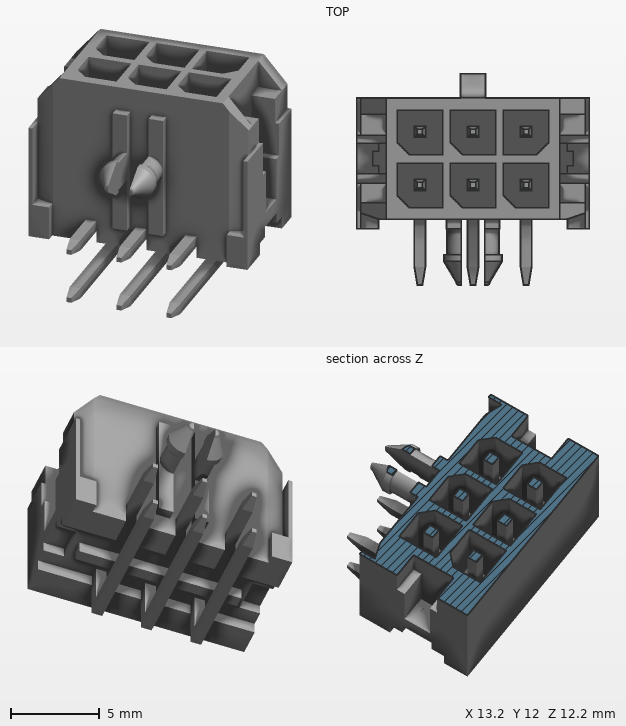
import cadquery as cq
import math


body_depth = 6.87
body_top = 9.92
core_half = 4.91
block_half = 6.33
plate_half = 6.575
shoulder_z = 8.28
plate_top = 6.77
front_step = 0.53
gusset_width = 0.94
corner_cut_x = 1.06
corner_cut_y = 0.36
foot_inner = 5.33
foot_top = 1.99

wide_slot = (2.05, 4.77)
wide_slot_floor = 4.77
narrow_slot = (2.57, 4.30)
narrow_slot_floor = 2.24
floor_step_depth = 0.05
floor_step_nub_outer = 5.66
floor_step_nub = (3.04, 3.84)

channel = (1.57, 5.25)
channel_top = 0.73
rib = (3.10, 3.74)
side_notch = (2.41, 4.41)
side_notch_top = 1.37

pitch = 3.0
columns = 3
pin_size = 0.64
pin_tip_size = 0.29
pin_tip_length = 1.03
front_row_y = 1.95
pin_top = 7.5
tail_end_y = -3.71
front_tail_z = 1.0
rear_tail_z = front_tail_z - pitch

cavity_width = 2.58
cavity_front = 1.29
cavity_back = 1.23
cavity_chamfer = 0.70
cavity_floor = 2.5

latch_width = 1.44
latch_reach = 1.37
latch_top = 9.28
latch_nose_top = 7.73
latch_bottom = 6.97
latch_fillet = 0.6

rail_inner = 0.65
rail_width = 0.86
rail_bottom = 1.30
rail_top = 8.50
peg_z = 5.32
peg_radius = 0.83
collar_radius = 1.0
collar_start_y = -1.98
collar_end_y = -2.37
peg_tip_radius = 0.30
peg_tip_flat = 0.13
peg_round = peg_tip_radius - peg_tip_flat

column_xs = [(i - (columns - 1) / 2) * pitch for i in range(columns)]
row_ys = [front_row_y, front_row_y + pitch]


def box(x_range, y_range, z_range):
    """Box between two limits on each axis."""
    size = [high - low for low, high in (x_range, y_range, z_range)]
    corner = (x_range[0], y_range[0], z_range[0])
    return cq.Workplane("XY").box(*size, centered=False).translate(corner)


def mirrored(shape):
    """The shape together with its mirror image across X = 0."""
    return shape.union(shape.mirror("YZ"))


def end_profile(y_start, y_end):
    """Full-width slice of the housing with sloped upper ends."""
    outline = [
        (-block_half, 0),
        (block_half, 0),
        (block_half, shoulder_z),
        (core_half, body_top),
        (-core_half, body_top),
        (-block_half, shoulder_z),
    ]
    slab = cq.Workplane("XZ").polyline(outline).close().extrude(y_start - y_end)
    return slab.translate((0, y_start, 0))


def front_corner_cut():
    """Wedge that bevels the vertical front corner on the +X side."""
    outline = [
        (block_half - corner_cut_x, 0),
        (block_half, 0),
        (block_half, corner_cut_y),
    ]
    return cq.Workplane("XY").polyline(outline).close().extrude(body_top)


def side_slot():
    """Stepped slot in the +X end, with the shallow T-shaped step in its floor."""
    across = (core_half, plate_half)
    slot = box(across, wide_slot, (wide_slot_floor, body_top))
    slot = slot.union(box(across, narrow_slot, (narrow_slot_floor, body_top)))
    step_heights = (narrow_slot_floor - floor_step_depth, body_top)
    slot = slot.union(box((core_half, foot_inner), narrow_slot, step_heights))
    return slot.union(box((core_half, floor_step_nub_outer), floor_step_nub, step_heights))


def housing():
    """Outer body with end blocks, side plates, feet and side slots."""
    body = box((-core_half, core_half), (0, body_depth), (0, body_top))
    body = body.union(end_profile(0, gusset_width))
    body = body.union(end_profile(body_depth - gusset_width, body_depth))
    body = body.union(box((-block_half, block_half), (0, body_depth), (0, shoulder_z)))
    body = body.cut(mirrored(front_corner_cut()))
    full_depth = (-front_step, body_depth)
    plate = box((block_half, plate_half), full_depth, (0, plate_top))
    foot = box((foot_inner, plate_half), full_depth, (0, foot_top))
    body = body.union(mirrored(plate)).union(mirrored(foot))
    return body.cut(mirrored(side_slot()))


def underside_cut():
    """Channel along X under the housing, leaving a cross rib, plus end notches."""
    cut = box((-plate_half, plate_half), channel, (0, channel_top))
    cut = cut.cut(box((-core_half, core_half), rib, (0, channel_top)))
    notch = box((foot_inner, plate_half), side_notch, (0, side_notch_top))
    return cut.union(mirrored(notch))


def tail_slot(x):
    """Slot in the front wall below one front-row solder tail."""
    half = pin_size / 2
    return box((x - half, x + half), (0, channel[0]), (0, front_tail_z))


def cavity(x, y, chamfer_side):
    """Contact cavity with one front corner cut off, on the -1 or +1 X side."""
    edge = chamfer_side * cavity_width / 2
    front = y - cavity_front
    back = y + cavity_back
    outline = [
        (x + edge, back),
        (x - edge, back),
        (x - edge, front),
        (x + edge - chamfer_side * cavity_chamfer, front),
        (x + edge, front + cavity_chamfer),
    ]
    hole = cq.Workplane("XY").polyline(outline).close().extrude(body_top - cavity_floor)
    return hole.translate((0, 0, cavity_floor))


def pin_tip(plane):
    """Square taper that ends a contact, growing along the normal of the plane."""
    base = cq.Workplane(plane).rect(pin_size, pin_size)
    return base.workplane(offset=pin_tip_length).rect(pin_tip_size, pin_tip_size).loft(ruled=True)


def contact(x, y, tail_z):
    """Right-angle square contact: vertical leg, horizontal tail, tapered ends."""
    half = pin_size / 2
    across = (x - half, x + half)
    leg_end = pin_top - pin_tip_length
    tail_end = tail_end_y + pin_tip_length
    leg = box(across, (y - half, y + half), (tail_z - half, leg_end))
    tail = box(across, (tail_end, y + half), (tail_z - half, tail_z + half))
    mating_tip = pin_tip("XY").translate((x, y, leg_end))
    solder_tip = pin_tip("XZ").translate((x, tail_end, tail_z))
    return leg.union(tail).union(mating_tip).union(solder_tip)


def latch():
    """Ramp on the back wall with a rounded root under its nose."""
    nose_y = body_depth + latch_reach
    arc_start = (body_depth + latch_fillet, latch_bottom)
    arc_offset = latch_fillet * (1 - math.sqrt(0.5))
    arc_middle = (body_depth + arc_offset, latch_bottom - arc_offset)
    arc_end = (body_depth, latch_bottom - latch_fillet)
    profile = (
        cq.Workplane("YZ")
        .moveTo(body_depth, latch_top)
        .lineTo(nose_y, latch_nose_top)
        .lineTo(nose_y, latch_bottom)
        .lineTo(*arc_start)
        .threePointArc(arc_middle, arc_end)
        .close()
    )
    return profile.extrude(latch_width / 2, both=True)


def rail_with_peg():
    """Vertical front rail on the +X side and the half peg standing on it."""
    rail_across = (rail_inner, rail_inner + rail_width)
    rail = box(rail_across, (-front_step, 0), (rail_bottom, rail_top))
    round_offset = peg_round * (1 - math.sqrt(0.5))
    peg = (
        cq.Workplane("XY")
        .lineTo(peg_radius, 0)
        .lineTo(peg_radius, collar_start_y)
        .lineTo(collar_radius, collar_start_y)
        .lineTo(collar_radius, collar_end_y)
        .lineTo(peg_tip_radius, tail_end_y + peg_round)
        .threePointArc(
            (peg_tip_radius - round_offset, tail_end_y + round_offset),
            (peg_tip_flat, tail_end_y),
        )
        .lineTo(0, tail_end_y)
        .close()
        .revolve(180, (0, 0, 0), (0, 1, 0))
    )
    peg = peg.rotate((0, 0, 0), (0, 1, 0), -90)
    return rail.union(peg.translate((rail_inner, 0, peg_z)))


result = housing().cut(underside_cut())
for row, row_y in enumerate(row_ys):
    for column, column_x in enumerate(column_xs):
        is_keyed = row == len(row_ys) - 1 and column == columns - 1
        result = result.cut(cavity(column_x, row_y, 1 if is_keyed else -1))
for column_x in column_xs:
    result = result.cut(tail_slot(column_x))
for row_y, tail_z in zip(row_ys, (front_tail_z, rear_tail_z)):
    for column_x in column_xs:
        result = result.union(contact(column_x, row_y, tail_z))
result = result.union(latch()).union(mirrored(rail_with_peg()))